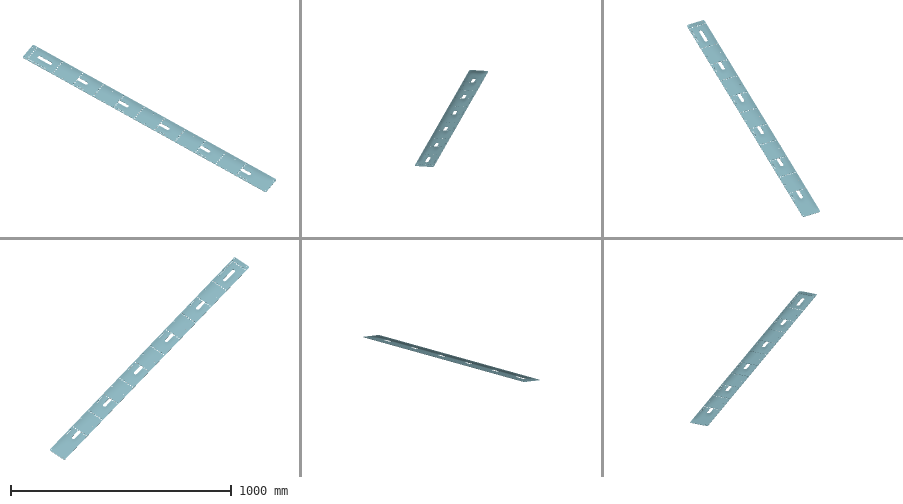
import cadquery as cq

LENGTH = 1336.0
WIDTH = 87.0
THICKNESS = 1.5
CORNER_RADIUS = 5.0

STATION_COUNT = 5
THREE_STATION_SPAN = 672.0
STATION_PITCH = THREE_STATION_SPAN / 3
COLUMN_PITCH = STATION_PITCH / 2

COLUMN_HOLE_DIAMETER = 6.0
COLUMN_COUNT = 2 * STATION_COUNT
FIRST_COLUMN_X = -COLUMN_PITCH * (COLUMN_COUNT - 1) / 2
END_COLUMN_GAP = 140.0
END_COLUMN_X = FIRST_COLUMN_X - END_COLUMN_GAP
HOLES_PER_COLUMN = 7
ROW_PITCH = 12.0
BOTTOM_ROW_Y = -ROW_PITCH * (HOLES_PER_COLUMN - 1) / 2

STATION_XS = [FIRST_COLUMN_X + COLUMN_PITCH + i * STATION_PITCH for i in range(STATION_COUNT)]

SLOT_END_RADIUS = 7.7
SLOT_START = -3.3
SLOT_END = 52.0
END_SLOT_LENGTH = 76.0
END_SLOT_X = (END_COLUMN_X + FIRST_COLUMN_X) / 2

EDGE_HOLE_DIAMETER = 4.5
EDGE_HOLE_PITCH = 7.6
EDGE_ROW_COUNT = 5
EDGE_ROW_CENTER = 36.0
END_EDGE_ROW_COUNT = 13

MOUNTING_HOLE_DIAMETER = 4.5
MOUNTING_END_MARGIN = 6.0
MOUNTING_BOTTOM_MARGIN = 6.0
MOUNTING_TOP_MARGIN = 13.0


def cut_holes(plate, points, diameter):
    """Drill straight through the plate at every point."""
    drills = cq.Workplane().pushPoints(points).circle(diameter / 2).extrude(THICKNESS)
    return plate.cut(drills)


def cut_slot(plate, center_x, length):
    """Cut a round-ended slot through the plate on its centre line."""
    slot = cq.Workplane().center(center_x, 0).slot2D(length, 2 * SLOT_END_RADIUS).extrude(THICKNESS)
    return plate.cut(slot)


def column_points():
    """Centres of all the holes in the columns across the strip."""
    xs = [END_COLUMN_X] + [FIRST_COLUMN_X + i * COLUMN_PITCH for i in range(COLUMN_COUNT)]
    ys = [BOTTOM_ROW_Y + i * ROW_PITCH for i in range(HOLES_PER_COLUMN)]
    return [(x, y) for x in xs for y in ys]


def edge_row_points(start_x, count):
    """Centres of one close row of holes, running in +X from start_x."""
    return [(start_x + i * EDGE_HOLE_PITCH, BOTTOM_ROW_Y) for i in range(count)]


def mounting_points():
    """Centres of the mounting hole pairs."""
    end_x = LENGTH / 2 - MOUNTING_END_MARGIN
    inner_xs = [(i - (STATION_COUNT - 1) / 2) * STATION_PITCH for i in range(STATION_COUNT)]
    ys = (WIDTH / 2 - MOUNTING_TOP_MARGIN, -WIDTH / 2 + MOUNTING_BOTTOM_MARGIN)
    return [(x, y) for x in [-end_x, *inner_xs, end_x] for y in ys]


plate = cq.Workplane().rect(LENGTH, WIDTH).extrude(THICKNESS).edges("|Z").fillet(CORNER_RADIUS)

plate = cut_slot(plate, END_SLOT_X, END_SLOT_LENGTH)
for station_x in STATION_XS:
    plate = cut_slot(plate, station_x + (SLOT_START + SLOT_END) / 2, SLOT_END - SLOT_START)

plate = cut_holes(plate, column_points(), COLUMN_HOLE_DIAMETER)

edge_points = edge_row_points(END_COLUMN_X + EDGE_HOLE_PITCH, END_EDGE_ROW_COUNT)
edge_row_start = EDGE_ROW_CENTER - EDGE_HOLE_PITCH * (EDGE_ROW_COUNT - 1) / 2
for station_x in STATION_XS:
    edge_points += edge_row_points(station_x + edge_row_start, EDGE_ROW_COUNT)
plate = cut_holes(plate, edge_points, EDGE_HOLE_DIAMETER)

plate = cut_holes(plate, mounting_points(), MOUNTING_HOLE_DIAMETER)

result = plate